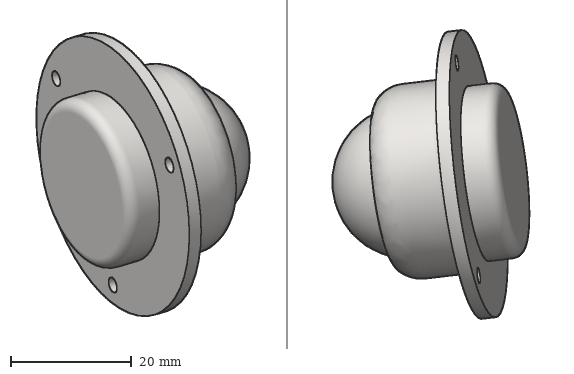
import cadquery as cq
import math

overall_length = 30.5

flange_radius = 24.0
flange_bottom = 5.95
flange_thickness = 2.3
flange_top = flange_bottom + flange_thickness

base_radius = 14.65
base_fillet = 1.95

housing_radius = 16.25
housing_foot_radius = 15.55
housing_foot_height = 2.0
housing_top = 21.75
shoulder_start = 16.75
shoulder_width = 3.85
shoulder_height = housing_top - shoulder_start
shoulder_end_angle = 73.0
rim_radius = 12.65

ball_radius = 12.7
ball_center = overall_length - ball_radius

hole_count = 3
hole_diameter = 2.6
hole_circle_radius = 20.5
first_hole_angle = -90.0


def disc(radius, bottom, top):
    """Solid cylinder about the Y axis between two heights along Y."""
    plane = cq.Workplane("XZ", origin=(0, bottom, 0))
    return plane.circle(radius).extrude(bottom - top)


def make_base():
    return disc(base_radius, 0, flange_top).faces("<Y").edges().fillet(base_fillet)


def shoulder_point(angle):
    """Point (radius, height) on the elliptical shoulder, from 0 degrees at its widest."""
    turn = math.radians(angle)
    radius = housing_radius - shoulder_width * (1 - math.cos(turn))
    return radius, shoulder_start + shoulder_height * math.sin(turn)


def make_housing():
    """Turned shell: curved foot, straight wall, elliptical shoulder and a slightly conical rim."""
    foot_inset = housing_radius - housing_foot_radius
    foot_arc_radius = (housing_foot_height**2 + foot_inset**2) / (2 * foot_inset)
    half_foot_angle = math.asin(housing_foot_height / foot_arc_radius) / 2
    wall_start = flange_top + housing_foot_height
    foot_middle = (
        housing_radius - foot_arc_radius * (1 - math.cos(half_foot_angle)),
        wall_start - foot_arc_radius * math.sin(half_foot_angle),
    )
    shoulder_points = [shoulder_point(shoulder_end_angle * step / 3) for step in (1, 2, 3)]
    end_turn = math.radians(shoulder_end_angle)
    shoulder_end_direction = (
        -shoulder_width * math.sin(end_turn),
        shoulder_height * math.cos(end_turn),
    )
    return (
        cq.Workplane("XY")
        .moveTo(0, flange_top)
        .lineTo(housing_foot_radius, flange_top)
        .threePointArc(foot_middle, (housing_radius, wall_start))
        .lineTo(housing_radius, shoulder_start)
        .spline(shoulder_points, tangents=[(0, 1), shoulder_end_direction], includeCurrent=True)
        .lineTo(rim_radius, housing_top)
        .lineTo(0, housing_top)
        .close()
        .revolve(360, (0, 0, 0), (0, 1, 0))
    )


def make_flange():
    flange = disc(flange_radius, flange_bottom, flange_top)
    for index in range(hole_count):
        angle = math.radians(first_hole_angle + index * 360.0 / hole_count)
        x = hole_circle_radius * math.cos(angle)
        z = hole_circle_radius * math.sin(angle)
        hole = disc(hole_diameter / 2, flange_bottom, flange_top)
        flange = flange.cut(hole.translate((x, 0, z)))
    return flange


def make_ball():
    return cq.Workplane("XY").sphere(ball_radius).translate((0, ball_center, 0))


result = make_flange().union(make_base()).union(make_housing()).union(make_ball())